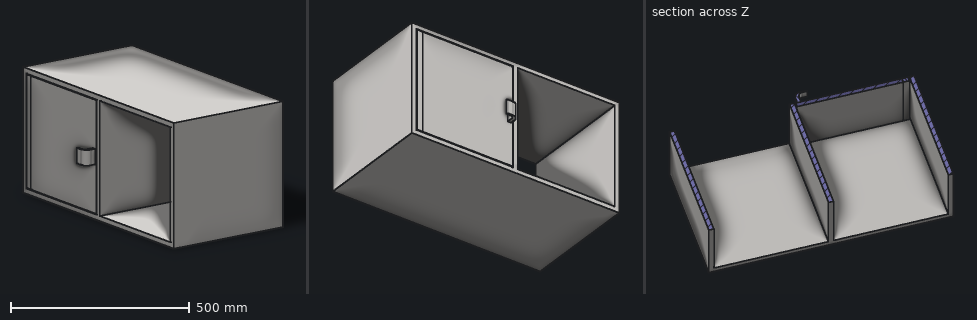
import cadquery as cq

WIDTH = 718.0
HEIGHT = 367.0
DEPTH = 380.0
PANEL = 16.0
OPENING_WIDTH = (WIDTH - 3 * PANEL) / 2
OPENING_HEIGHT = HEIGHT - 2 * PANEL

DOOR_GAP = 2.0
DOOR_THICKNESS = 16.0
STRIP_WIDTH = 20.0
LEAF_LEFT = PANEL + DOOR_GAP
LEAF_BOTTOM = PANEL + DOOR_GAP
LEAF_WIDTH = OPENING_WIDTH - 2 * DOOR_GAP
LEAF_HEIGHT = OPENING_HEIGHT - 2 * DOOR_GAP

HANDLE_HEIGHT = 45.0
HANDLE_RIGHT = 344.0
HANDLE_WIDTH = 40.0
HANDLE_REACH = 35.0
ARM_THICKNESS = 12.0
GRIP_THICKNESS = 5.0
OUTER_BEND = 20.0
INNER_BEND = 11.5
HANDLE_MIDDLE_Z = HEIGHT / 2


def block(x, y, z, width, depth, height):
    """Box with its lowest corner at (x, y, z)."""
    return cq.Workplane("XY").box(width, depth, height, centered=False).translate((x, y, z))


def make_cabinet():
    cabinet = block(0, 0, 0, WIDTH, DEPTH, HEIGHT)
    for column in range(2):
        left = PANEL + column * (OPENING_WIDTH + PANEL)
        cabinet = cabinet.cut(block(left, 0, PANEL, OPENING_WIDTH, DEPTH, OPENING_HEIGHT))
    return cabinet


def make_hinge_strip():
    return block(LEAF_LEFT, 0, LEAF_BOTTOM, STRIP_WIDTH, DOOR_THICKNESS, LEAF_HEIGHT)


def make_door():
    door_left = LEAF_LEFT + STRIP_WIDTH
    door_width = LEAF_WIDTH - STRIP_WIDTH
    return block(door_left, 0, LEAF_BOTTOM, door_width, DOOR_THICKNESS, LEAF_HEIGHT)


def make_handle():
    right = HANDLE_RIGHT
    left = right - HANDLE_WIDTH
    arm_left = right - ARM_THICKNESS
    front = -HANDLE_REACH
    grip_back = front + GRIP_THICKNESS
    end_radius = GRIP_THICKNESS / 2
    return (
        cq.Workplane("XY", origin=(0, 0, HANDLE_MIDDLE_Z - HANDLE_HEIGHT / 2))
        .moveTo(arm_left, 0)
        .lineTo(right, 0)
        .lineTo(right, front + OUTER_BEND)
        .radiusArc((right - OUTER_BEND, front), OUTER_BEND)
        .lineTo(left + end_radius, front)
        .threePointArc((left, front + end_radius), (left + end_radius, grip_back))
        .lineTo(arm_left - INNER_BEND, grip_back)
        .radiusArc((arm_left, grip_back + INNER_BEND), -INNER_BEND)
        .close()
        .extrude(HANDLE_HEIGHT)
    )


cabinet = make_cabinet()
hinge_strip = make_hinge_strip()
door = make_door()
handle = make_handle()

result = cq.Compound.makeCompound([cabinet.val(), hinge_strip.val(), door.val(), handle.val()])